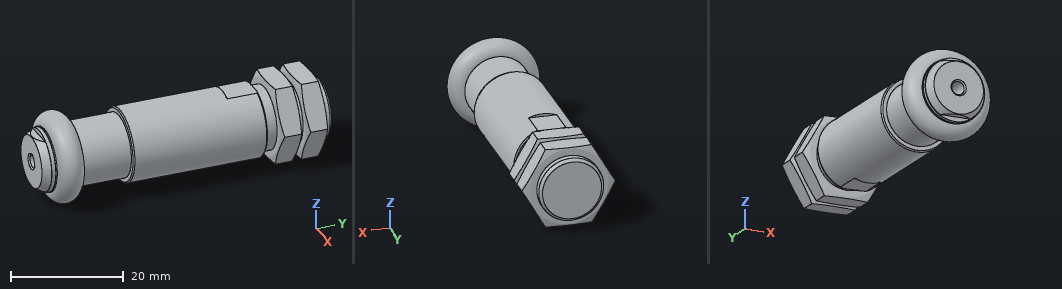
import cadquery as cq
import math

total_length = 55.5

rod_diameter = 12.0
tip_diameter = 11.8
tip_length = 2.25
taper_length = 1.5
taper_base_diameter = 11.64
tip_edge_break = 0.12
taper_angle = 30.0
tip_flat_width = 10.0
tap_hole_diameter = 2.46
tap_hole_depth = 5.0
pilot_hole_diameter = 2.0
pilot_hole_depth = 6.0
tap_hole_mouth_diameter = 3.0
drill_point_angle = 118.0

ring_outer_diameter = 17.0
ring_section_diameter = 5.0
ring_center_y = 5.0

sleeve_diameter = 14.0
sleeve_front_y = 16.75
sleeve_length = 25.85
sleeve_chamfer = 0.25
sleeve_flat_width = 13.0
sleeve_flat_length = 6.0
thread_diameter = 12.0
thread_end_diameter = 10.92
thread_relief_diameter = 11.8
thread_relief_width = 0.15

nut_width = 15.0
nut_thickness = 4.0
nut_face_diameter = 14.5
nut_chamfer_angle = 15.0
nut_front_positions = (44.75, 49.75)

ring_path_radius = (ring_outer_diameter - ring_section_diameter) / 2
sleeve_back_y = sleeve_front_y + sleeve_length


def revolve_about_y(points):
    """Solid of revolution about Y from a closed (radius, y) outline."""
    return cq.Workplane("XY").polyline(points).close().revolve(360, (0, 0, 0), (0, 1, 0))


def cut_flats(body, width, y_start, y_end):
    """Cut two opposite flats, leaving the given width in Z between y_start and y_end."""
    length = y_end - y_start
    block_size = 2 * sleeve_diameter
    block_offset = (width + block_size) / 2
    for side in (1, -1):
        block = cq.Workplane("XY").box(block_size, length, block_size)
        body = body.cut(block.translate((0, (y_start + y_end) / 2, side * block_offset)))
    return body


def make_ring():
    return (
        cq.Workplane("XY")
        .center(ring_path_radius, ring_center_y)
        .circle(ring_section_diameter / 2)
        .revolve(360, (-ring_path_radius, 0, 0), (-ring_path_radius, 1, 0))
    )


def make_tap_hole():
    hole_radius = tap_hole_diameter / 2
    pilot_radius = pilot_hole_diameter / 2
    mouth_radius = tap_hole_mouth_diameter / 2
    point_depth = pilot_radius / math.tan(math.radians(drill_point_angle / 2))
    return revolve_about_y([
        (0, 0),
        (mouth_radius, 0),
        (hole_radius, mouth_radius - hole_radius),
        (hole_radius, tap_hole_depth),
        (pilot_radius, tap_hole_depth),
        (pilot_radius, pilot_hole_depth),
        (0, pilot_hole_depth + point_depth),
    ])


def make_plunger():
    rod_radius = rod_diameter / 2
    tip_radius = tip_diameter / 2
    taper_base_radius = taper_base_diameter / 2
    taper_run = taper_length - tip_edge_break
    taper_end_radius = taper_base_radius - taper_run * math.tan(math.radians(taper_angle))
    body = revolve_about_y([
        (0, 0),
        (taper_end_radius - tip_edge_break, 0),
        (taper_end_radius, tip_edge_break),
        (taper_base_radius, taper_length),
        (tip_radius, taper_length),
        (tip_radius, tip_length),
        (rod_radius, tip_length),
        (rod_radius, sleeve_front_y),
        (0, sleeve_front_y),
    ])
    body = cut_flats(body, tip_flat_width, 0, taper_length)
    return body.cut(make_ring()).cut(make_tap_hole())


def make_barrel():
    sleeve_radius = sleeve_diameter / 2
    thread_radius = thread_diameter / 2
    thread_end_radius = thread_end_diameter / 2
    thread_relief_radius = thread_relief_diameter / 2
    sleeve_end_radius = sleeve_radius - sleeve_chamfer
    body = revolve_about_y([
        (0, sleeve_front_y),
        (sleeve_end_radius, sleeve_front_y),
        (sleeve_radius, sleeve_front_y + sleeve_chamfer),
        (sleeve_radius, sleeve_back_y - sleeve_chamfer),
        (sleeve_end_radius, sleeve_back_y),
        (thread_relief_radius, sleeve_back_y),
        (thread_relief_radius, sleeve_back_y + thread_relief_width),
        (thread_radius, sleeve_back_y + thread_relief_width),
        (thread_radius, total_length - (thread_radius - thread_end_radius)),
        (thread_end_radius, total_length),
        (0, total_length),
    ])
    return cut_flats(body, sleeve_flat_width, sleeve_back_y - sleeve_flat_length, sleeve_back_y)


def make_nut(front_y):
    corner_radius = nut_width / math.sqrt(3)
    face_radius = nut_face_diameter / 2
    corner_drop = (corner_radius - face_radius) * math.tan(math.radians(nut_chamfer_angle))
    back_y = front_y + nut_thickness
    hexagon = (
        cq.Workplane("XZ", origin=(0, back_y, 0))
        .polygon(6, 2 * corner_radius)
        .extrude(nut_thickness)
    )
    envelope = revolve_about_y([
        (thread_diameter / 2, front_y),
        (face_radius, front_y),
        (corner_radius, front_y + corner_drop),
        (corner_radius, back_y - corner_drop),
        (face_radius, back_y),
        (thread_diameter / 2, back_y),
    ])
    return hexagon.intersect(envelope)


plunger = make_plunger()
bumper_ring = make_ring()
barrel = make_barrel()
nuts = [make_nut(front_y) for front_y in nut_front_positions]

result = cq.Compound.makeCompound([
    plunger.val(),
    bumper_ring.val(),
    barrel.val(),
    *[nut.val() for nut in nuts],
])